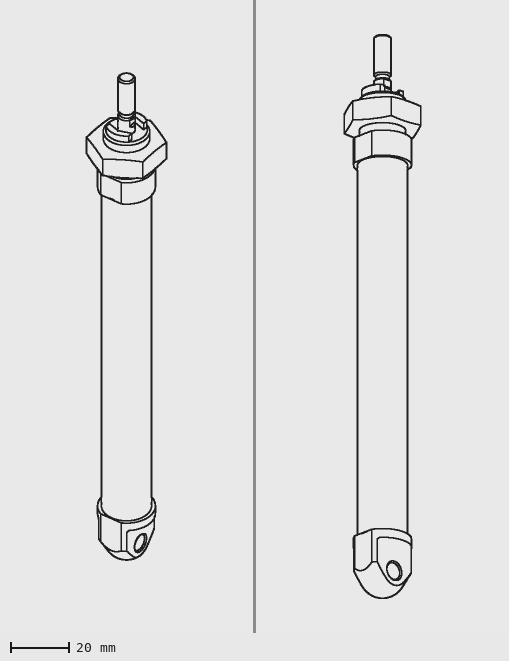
import cadquery as cq
import math


tube_diameter = 17.3
cap_diameter = 20.0
cap_across_flats = 18.0
shoulder_z = 160.0
front_cap_length = 9.2
rear_cap_top_z = 13.4
rear_flange_height = 3.2

neck_diameter = 16.0
neck_length = 15.4
neck_top_diameter = 14.38
lug_width = 9.6
lug_height = 2.6
lug_inner_middle_y = 5.0
lug_inner_end_y = 3.45

tongue_width = 12.0
tongue_fillet = 1.0
pivot_hole_diameter = 6.0
pivot_hole_chamfer = 0.5
nose_radius = 8.0
nose_cone_half_angle = 30.0

nut_across_flats = 24.0
nut_height = 8.0
nut_gap = 3.5
nut_bottom_z = shoulder_z + nut_gap
nut_chamfer_diameter = 22.8
nut_chamfer_angle = 12.0

rod_diameter = 6.0
rod_length = 38.0
rod_thread_length = 14.0
thread_root_diameter = 4.8
groove_width = 2.5
rod_across_flats = 5.0
rod_flat_length = 3.4
rod_flat_run_out = 0.8

neck_top_z = shoulder_z + neck_length
rod_top_z = shoulder_z + rod_length
groove_top_z = rod_top_z - rod_thread_length
groove_bottom_z = groove_top_z - groove_width


def cylinder(diameter, bottom_z, top_z):
    return cq.Workplane("XY").workplane(offset=bottom_z).circle(diameter / 2).extrude(top_z - bottom_z)


def slab(size_x, size_y, bottom_z, top_z):
    return cq.Workplane("XY").workplane(offset=bottom_z).rect(size_x, size_y).extrude(top_z - bottom_z)


def make_front_end():
    cap = cylinder(cap_diameter, shoulder_z - front_cap_length, shoulder_z)
    cap = cap.intersect(slab(cap_diameter, cap_across_flats, shoulder_z - front_cap_length, shoulder_z))
    chamfer = (neck_diameter - neck_top_diameter) / 2
    neck = cylinder(neck_diameter, shoulder_z, neck_top_z).faces(">Z").chamfer(chamfer)
    return cap.union(neck)


def make_lug():
    """Raised segment on the +Y side of the neck's end face, with a shallow V-shaped inner wall."""
    outer_radius = neck_top_diameter / 2
    half_width = lug_width / 2
    outer_end_y = math.sqrt(outer_radius**2 - half_width**2)
    return (
        cq.Workplane("XY")
        .workplane(offset=neck_top_z)
        .moveTo(-half_width, lug_inner_end_y)
        .lineTo(0, lug_inner_middle_y)
        .lineTo(half_width, lug_inner_end_y)
        .lineTo(half_width, outer_end_y)
        .threePointArc((0, outer_radius), (-half_width, outer_end_y))
        .close()
        .extrude(lug_height)
    )


def hole_flare(side):
    """Cone that chamfers one mouth of the pivot hole; side is +1 or -1 along X."""
    mouth_radius = pivot_hole_diameter / 2 + pivot_hole_chamfer
    return cq.Workplane(
        cq.Solid.makeCone(
            mouth_radius,
            pivot_hole_diameter / 2,
            pivot_hole_chamfer,
            pnt=cq.Vector(side * tongue_width / 2, 0, 0),
            dir=cq.Vector(-side, 0, 0),
        )
    )


def make_rear_cap():
    """Turned cap with a conical, ball-ended nose, flattened into a pivot tongue."""
    cap_radius = cap_diameter / 2
    cone_angle = math.radians(nose_cone_half_angle)
    tangent_radius = nose_radius * math.cos(cone_angle)
    tangent_z = -nose_radius * math.sin(cone_angle)
    cone_top_z = tangent_z + (cap_radius - tangent_radius) / math.tan(cone_angle)
    mid_angle = (math.pi / 2 + cone_angle) / 2
    blank = (
        cq.Workplane("XZ")
        .moveTo(0, rear_cap_top_z)
        .lineTo(cap_radius, rear_cap_top_z)
        .lineTo(cap_radius, cone_top_z)
        .lineTo(tangent_radius, tangent_z)
        .threePointArc(
            (nose_radius * math.cos(mid_angle), -nose_radius * math.sin(mid_angle)),
            (0, -nose_radius),
        )
        .close()
        .revolve(360, (0, 0, 0), (0, 1, 0))
    )
    flange_bottom_z = rear_cap_top_z - rear_flange_height
    envelope = slab(cap_diameter, cap_across_flats, flange_bottom_z, rear_cap_top_z).union(
        slab(tongue_width, cap_across_flats, -nose_radius, flange_bottom_z)
    )
    root_edges = cq.selectors.BoxSelector(
        (-tongue_width, -cap_across_flats, flange_bottom_z - tongue_fillet),
        (tongue_width, cap_across_flats, flange_bottom_z + tongue_fillet),
    )
    inner_corners = envelope.edges("|Y").edges(root_edges).edges("not(<X or >X)")
    envelope = inner_corners.fillet(tongue_fillet)
    pivot_hole = cq.Workplane("YZ").circle(pivot_hole_diameter / 2).extrude(tongue_width / 2, both=True)
    pivot_hole = pivot_hole.union(hole_flare(1)).union(hole_flare(-1))
    return blank.intersect(envelope).cut(pivot_hole)


def make_cylinder_body():
    tube = cylinder(tube_diameter, rear_cap_top_z, shoulder_z - front_cap_length)
    body = tube.union(make_rear_cap()).union(make_front_end())
    for turn in (0, 180):
        body = body.union(make_lug().rotate((0, 0, 0), (0, 0, 1), turn))
    return body.cut(cylinder(rod_diameter, shoulder_z, neck_top_z))


def make_nut():
    corner_diameter = nut_across_flats / math.cos(math.pi / 6)
    hexagon = (
        cq.Workplane("XY")
        .workplane(offset=nut_bottom_z)
        .transformed(rotate=(0, 0, 90))
        .polygon(6, corner_diameter)
        .extrude(nut_height)
    )
    chamfer_width = (corner_diameter - nut_chamfer_diameter) / 2
    chamfer_height = chamfer_width * math.tan(math.radians(nut_chamfer_angle))
    chamfer_envelope = (
        cylinder(corner_diameter, nut_bottom_z, nut_bottom_z + nut_height)
        .faces("<Z or >Z")
        .chamfer(chamfer_height, chamfer_width)
    )
    bore = cylinder(neck_diameter, nut_bottom_z, nut_bottom_z + nut_height)
    return hexagon.intersect(chamfer_envelope).cut(bore)


def make_turned_rod():
    """Turned rod with a chamfered tip and a neck groove that has sloping ends."""
    rod_radius = rod_diameter / 2
    root_radius = thread_root_diameter / 2
    slope = rod_radius - root_radius
    return (
        cq.Workplane("XZ")
        .moveTo(0, shoulder_z)
        .lineTo(rod_radius, shoulder_z)
        .lineTo(rod_radius, groove_bottom_z)
        .lineTo(root_radius, groove_bottom_z + slope)
        .lineTo(root_radius, groove_top_z - slope)
        .lineTo(rod_radius, groove_top_z)
        .lineTo(rod_radius, rod_top_z - slope)
        .lineTo(root_radius, rod_top_z)
        .lineTo(0, rod_top_z)
        .close()
        .revolve(360, (0, 0, 0), (0, 1, 0))
    )


def make_rod_flat():
    """Cutter for the wrench flat on the +X side, with a sloping run-out at its lower end."""
    flat_x = rod_across_flats / 2
    rod_radius = rod_diameter / 2
    flat_bottom_z = groove_bottom_z - rod_flat_length
    return (
        cq.Workplane("XZ")
        .moveTo(flat_x, groove_bottom_z)
        .lineTo(flat_x, flat_bottom_z + rod_flat_run_out)
        .lineTo(rod_radius, flat_bottom_z)
        .lineTo(rod_radius, groove_bottom_z)
        .close()
        .extrude(rod_radius, both=True)
    )


def make_rod():
    rod = make_turned_rod()
    for turn in (0, 180):
        rod = rod.cut(make_rod_flat().rotate((0, 0, 0), (0, 0, 1), turn))
    return rod


cylinder_body = make_cylinder_body()
nut = make_nut()
piston_rod = make_rod()

result = cq.Compound.makeCompound([cylinder_body.val(), nut.val(), piston_rod.val()])